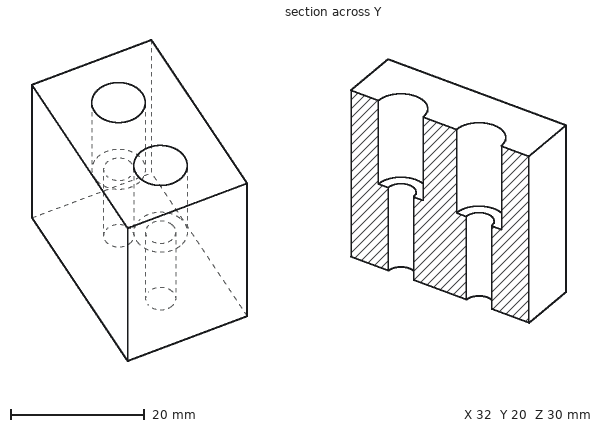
import cadquery as cq

length = 32.0
width = 20.0
height = 30.0

hole_spacing = 14.0
hole_diameter = 4.5
counterbore_diameter = 8.0
counterbore_depth = height / 2

block = cq.Workplane("XY").box(length, width, height)

result = (
    block.faces(">Z")
    .workplane()
    .rarray(hole_spacing, width, 2, 1)
    .cboreHole(hole_diameter, counterbore_diameter, counterbore_depth)
)